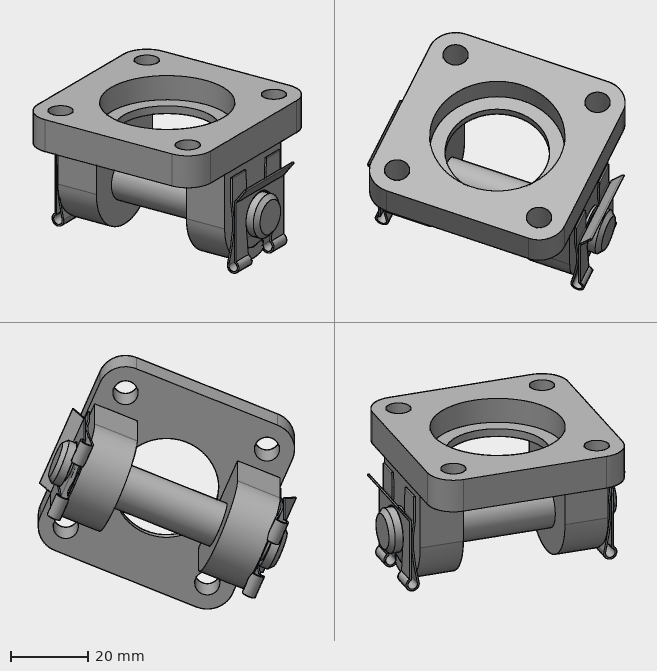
import cadquery as cq
import math


flange_side = 54.0
flange_thickness = 9.0
flange_y = -1.0
overall_height = 38.0
corner_radius = 7.2
bolt_spacing = 39.7
bolt_hole_diameter = 6.5
bore_diameter = 27.0
counterbore_diameter = 34.95
counterbore_depth = 6.8

lug_radius = 13.0
lug_thickness = 12.0
lug_outer_x = 26.0
flange_top = overall_height - lug_radius
flange_bottom = flange_top - flange_thickness

pin_length = 63.0
pin_diameter = 12.0
pin_chamfer = 1.25
groove_radius = 4.5
groove_start_x = 26.7
groove_width = 1.25

sheet = 0.5
clip_width = 22.05
leg_x = 28.0
leg_top = 7.2
lip_x = 31.1
lip_top = 11.3
loop_x = 27.35
loop_z = -11.0
loop_radius = 1.6
tab_x = 26.85
tab_top = 13.75
tab_bottom = 6.9
bulge_x = 27.4
bulge_z = 0.8
leg_gap_x = (leg_x + bulge_x) / 2

keyhole_radius = 6.35
keyhole_taper = 6.8
fork_mouth = 4.85
fork_taper = 5.0
loop_gap = 4.85
lip_edge_half_width = 4.6
lip_edge_z = -9.65
ear_y = 3.85
ear_z = -8.95


def make_flange():
    plate = (
        cq.Workplane("XY", origin=(0, flange_y, flange_bottom))
        .rect(flange_side, flange_side)
        .extrude(flange_thickness)
        .edges("|Z")
        .fillet(corner_radius)
    )
    return (
        plate.faces(">Z").workplane(centerOption="CenterOfBoundBox")
        .cboreHole(bore_diameter, counterbore_diameter, counterbore_depth)
        .faces(">Z").workplane(centerOption="CenterOfBoundBox")
        .rect(bolt_spacing, bolt_spacing, forConstruction=True)
        .vertices()
        .hole(bolt_hole_diameter)
    )


def make_lug(start_x):
    return (
        cq.Workplane("YZ", origin=(start_x, 0, 0))
        .moveTo(-lug_radius, flange_bottom)
        .lineTo(-lug_radius, 0)
        .threePointArc((0, -lug_radius), (lug_radius, 0))
        .lineTo(lug_radius, flange_bottom)
        .close()
        .extrude(lug_thickness)
    )


def make_pin():
    groove = (
        cq.Workplane("YZ", origin=(groove_start_x, 0, 0))
        .circle(pin_diameter / 2)
        .circle(groove_radius)
        .extrude(groove_width)
    )
    return (
        cq.Workplane("YZ", origin=(-pin_length / 2, 0, 0))
        .circle(pin_diameter / 2)
        .extrude(pin_length)
        .faces("<X or >X")
        .chamfer(pin_chamfer)
        .cut(groove)
        .cut(groove.mirror("YZ"))
    )


def loop_point(angle):
    return (loop_x + loop_radius * math.cos(angle), loop_z + loop_radius * math.sin(angle))


def make_clip_sheet():
    """Bent strip of full width, before the openings are cut."""
    leg_angle = math.acos((leg_x - loop_x) / loop_radius)

    bow_rise = tab_bottom - bulge_z
    bow_depth = bulge_x - tab_x
    bow_radius = (bow_rise ** 2 + bow_depth ** 2) / (2 * bow_depth)

    run_x = loop_x - (bulge_x - bow_radius)
    run_z = loop_z - bulge_z
    spread = math.acos((bow_radius + loop_radius) / math.hypot(run_x, run_z))
    bow_end_angle = math.atan2(run_z, run_x) + spread
    bow_end = (
        bulge_x - bow_radius + bow_radius * math.cos(bow_end_angle),
        bulge_z + bow_radius * math.sin(bow_end_angle),
    )
    tangent_angle = bow_end_angle + math.pi

    bottom_angle = (leg_angle + tangent_angle) / 2 - math.pi
    middle = (
        cq.Workplane("XZ", origin=(0, clip_width / 2, 0))
        .moveTo(lip_x, lip_top)
        .lineTo(leg_x, leg_top)
        .lineTo(*loop_point(leg_angle))
        .threePointArc(loop_point(bottom_angle), loop_point(tangent_angle))
        .lineTo(*bow_end)
        .threePointArc((bulge_x, bulge_z), (tab_x, tab_bottom))
        .lineTo(tab_x, tab_top)
        .wire()
    )
    return middle.offset2D(sheet / 2).extrude(clip_width)


def make_keyhole():
    """Opening of the outer leg: round at the pin, narrowing down to the loop."""
    taper = math.radians(keyhole_taper)
    side_y = keyhole_radius * math.cos(taper)
    side_z = -keyhole_radius * math.sin(taper)
    bottom_y = side_y - (side_z - loop_z) * math.tan(taper)
    return (
        cq.Workplane("YZ", origin=(leg_gap_x, 0, 0))
        .moveTo(-bottom_y, loop_z)
        .lineTo(-side_y, side_z)
        .threePointArc((0, keyhole_radius), (side_y, side_z))
        .lineTo(bottom_y, loop_z)
        .close()
        .extrude(lip_x - leg_gap_x)
    )


def make_fork_slot():
    """Slot of the inner leg: open at the top, seated round the pin groove."""
    mouth_z = tab_top + sheet
    straight_z = mouth_z - (fork_mouth - groove_radius) / math.tan(math.radians(fork_taper))
    return (
        cq.Workplane("YZ", origin=(lug_outer_x, 0, 0))
        .moveTo(-fork_mouth, mouth_z)
        .lineTo(-groove_radius, straight_z)
        .lineTo(-groove_radius, 0)
        .threePointArc((0, -groove_radius), (groove_radius, 0))
        .lineTo(groove_radius, straight_z)
        .lineTo(fork_mouth, mouth_z)
        .close()
        .extrude(leg_gap_x - lug_outer_x)
    )


def make_loop_gaps():
    """Gap between the loops, and the eared lower edge of the inner leg above it."""
    loop_reach = 2 * loop_radius
    gap = (
        cq.Workplane("XY", origin=(loop_x, 0, loop_z))
        .rect(2 * loop_reach, 2 * loop_gap)
        .extrude(-loop_reach)
    )
    lower_edge = (
        cq.Workplane("YZ", origin=(loop_x - loop_reach, 0, 0))
        .moveTo(-lip_edge_half_width, loop_z)
        .lineTo(-lip_edge_half_width, lip_edge_z)
        .spline(
            [(-ear_y, ear_z), (0, lip_edge_z), (ear_y, ear_z), (lip_edge_half_width, lip_edge_z)],
            includeCurrent=True,
        )
        .lineTo(lip_edge_half_width, loop_z)
        .close()
        .extrude(loop_reach)
    )
    return gap.union(lower_edge)


def make_clip(pin):
    return (
        make_clip_sheet()
        .cut(make_keyhole())
        .cut(make_fork_slot())
        .cut(make_loop_gaps())
        .cut(pin)
    )


pin = make_pin()

right_clip = make_clip(pin)
clips = [right_clip, right_clip.mirror("YZ")]

bracket = make_flange()
for lug_start_x in (lug_outer_x - lug_thickness, -lug_outer_x):
    bracket = bracket.union(make_lug(lug_start_x))
bracket = bracket.cut(pin)
for clip in clips:
    bracket = bracket.cut(clip)

bodies = [bracket, pin, *clips]
result = cq.Compound.makeCompound([body.solids().val() for body in bodies])